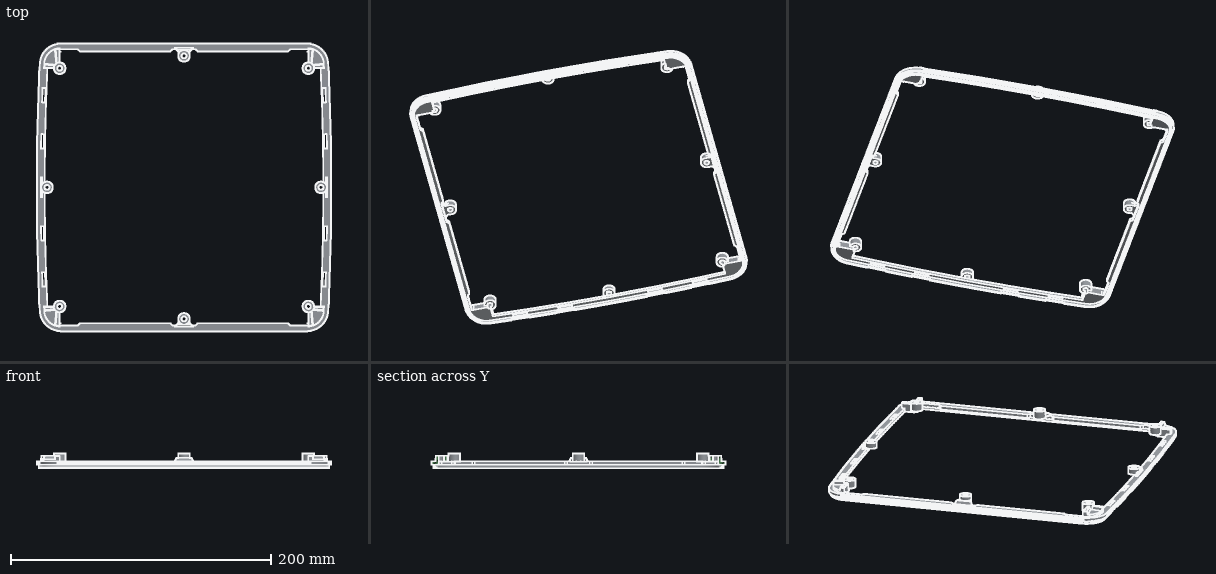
import cadquery as cq
import math

overall_x = 226.37
overall_y = 221.0
bead_height = 0.35
half_width = overall_x / 2 - bead_height
half_side = overall_y / 2 - bead_height
bow_radius = 2000.0
bow_center_x = half_width - bow_radius
corner_radius = 16.0

flange_bottom = 2.6
flange_top = 5.4
corner_floor_top = 7.0
side_web_top = 7.2
end_web_top = 8.0
side_boss_top = 9.7
rib_top = 9.7
total_height = 11.4
boss_embed = 0.2
boss_bottom = flange_top - boss_embed

flange_width = 6.1
skirt_inset = 1.4
skirt_thickness = 1.3
lip_height = 0.7
lip_inset = 0.2

bead_bottom = 3.4
bead_top = 4.6
end_bead_half = 97.0
side_bead_half = 92.0

relief_width = 4.3
relief_slope = flange_width - relief_width
mid_relief_half = 8.8
corner_relief_start = 81.5

slot_positions = (35.3, 70.6)
slot_length = 10.8
slot_inset = 3.1
slot_width = 2.0
notch_length = 14.4
notch_height = lip_height

boss_diameter = 9.0
hole_diameter = 3.6
corner_boss_x = 95.3
corner_boss_y = 91.3
side_boss_x = 105.0
end_boss_y = 100.8

end_web_back = 107.0
end_web_crest = 105.5
end_web_half = 7.2
end_web_front = 103.8
end_web_front_half = 4.3
side_web_back = 109.7
side_web_half = 7.6
side_web_top_half = 6.2
side_web_thickness = 1.0

bracket_inset = 3.4
rib_overlap = 2.0
rib_wide = 4.2
rib_narrow = 2.6
rib_chamfer = 0.5
rib_draft = 15.0


def outline(inset, bottom, top):
    """Solid slab of the frame outline, moved inward by inset."""
    edge_y = half_side - inset
    arc_radius = bow_radius - inset
    edge_x = bow_center_x + math.sqrt(arc_radius**2 - edge_y**2)
    side_x = half_width - inset
    return (
        cq.Workplane("XY")
        .workplane(offset=bottom)
        .moveTo(-edge_x, edge_y)
        .lineTo(edge_x, edge_y)
        .threePointArc((side_x, 0), (edge_x, -edge_y))
        .lineTo(-edge_x, -edge_y)
        .threePointArc((-side_x, 0), (-edge_x, edge_y))
        .close()
        .extrude(top - bottom)
        .edges("|Z")
        .fillet(corner_radius - inset)
    )


def prism(points, bottom, top, taper=0):
    """Prism over a polygon; a negative taper widens it upward."""
    base = cq.Workplane("XY").workplane(offset=bottom).polyline(points).close()
    return base.extrude(top - bottom, taper=taper)


def cylinder(x, y, diameter, bottom, top):
    return cq.Workplane("XY").workplane(offset=bottom).center(x, y).circle(diameter / 2).extrude(top - bottom)


def both_x(body):
    return body.union(body.mirror("YZ"))


def both_y(body):
    return body.union(body.mirror("XZ"))


def make_flange():
    flange = outline(0, flange_bottom, flange_top)
    return flange.cut(outline(flange_width, flange_bottom, flange_top))


def make_skirt():
    skirt = outline(skirt_inset, lip_height, flange_bottom)
    skirt = skirt.union(outline(skirt_inset + lip_inset, 0, lip_height))
    return skirt.cut(outline(skirt_inset + skirt_thickness, 0, flange_bottom))


def make_bead():
    """Low bead around the flange edge, left out at the corners."""
    reach = 2 * overall_x
    bead_thickness = bead_top - bead_bottom
    middle = (bead_bottom + bead_top) / 2
    ends = cq.Workplane("XY").box(2 * end_bead_half, reach, bead_thickness).translate((0, 0, middle))
    sides = cq.Workplane("XY").box(reach, 2 * side_bead_half, bead_thickness).translate((0, 0, middle))
    bead = outline(-bead_height, bead_bottom, bead_top).cut(outline(skirt_inset, bead_bottom, bead_top))
    return bead.intersect(ends.union(sides))


def make_end_reliefs():
    """Shallow reliefs beside the end bosses and at the corners."""
    deep_y = half_side - relief_width
    shallow_y = half_side - flange_width
    mid = prism(
        [
            (-mid_relief_half, deep_y),
            (mid_relief_half, deep_y),
            (mid_relief_half + relief_slope, shallow_y),
            (-mid_relief_half - relief_slope, shallow_y),
        ],
        flange_bottom,
        flange_top,
    )
    corner = prism(
        [
            (corner_relief_start, deep_y),
            (corner_boss_x + rib_overlap, deep_y),
            (corner_boss_x + rib_overlap, shallow_y),
            (corner_relief_start - relief_slope, shallow_y),
        ],
        flange_bottom,
        flange_top,
    )
    return both_y(mid.union(both_x(corner)))


def bowed_x(y, inset):
    """X of the bowed side at position y along it, moved inward by inset."""
    return bow_center_x + math.sqrt((bow_radius - inset) ** 2 - y**2)


def make_side_openings():
    """Through slots in the X rails and the notches under them in the skirt."""
    openings = cq.Workplane("XY")
    for y in slot_positions:
        slot_x = bowed_x(y, slot_inset + slot_width / 2)
        slot = cq.Workplane("XY").box(slot_width, slot_length, 2 * total_height)
        notch_x = bowed_x(y, skirt_inset + skirt_thickness / 2)
        notch = cq.Workplane("XY").box(2 * skirt_thickness, notch_length, 2 * notch_height)
        angle = math.degrees(math.asin(y / bow_radius))
        for body, x in ((slot, slot_x), (notch, notch_x)):
            openings = openings.union(body.rotate((0, 0, 0), (0, 0, 1), angle).translate((x, y, 0)))
    return both_x(both_y(openings))


def make_end_boss():
    plan = prism(
        [
            (-end_web_half, end_web_back),
            (end_web_half, end_web_back),
            (end_web_front_half, end_web_front),
            (boss_diameter / 2, end_boss_y),
            (-boss_diameter / 2, end_boss_y),
            (-end_web_front_half, end_web_front),
        ],
        boss_bottom,
        end_web_top,
    )
    profile = [
        (end_web_back, boss_bottom),
        (end_web_back, flange_top),
        (end_web_crest, end_web_top),
        (end_boss_y, end_web_top),
        (end_boss_y, boss_bottom),
    ]
    wedge = cq.Workplane("YZ").polyline(profile).close().extrude(end_web_half, both=True)
    web = plan.intersect(wedge)
    return web.union(cylinder(0, end_boss_y, boss_diameter, boss_bottom, total_height))


def make_side_boss():
    profile = [
        (-side_web_half, boss_bottom),
        (-side_web_half, flange_top),
        (-side_web_top_half, side_web_top),
        (side_web_top_half, side_web_top),
        (side_web_half, flange_top),
        (side_web_half, boss_bottom),
    ]
    inner_face = cq.Workplane("YZ").workplane(offset=side_web_back - side_web_thickness)
    web = inner_face.polyline(profile).close().extrude(side_web_thickness)
    return web.union(cylinder(side_boss_x, 0, boss_diameter, boss_bottom, side_boss_top))


def make_corner():
    x, y = corner_boss_x, corner_boss_y
    far_x, far_y = half_width, half_side
    quadrant = prism([(x, y), (far_x, y), (far_x, far_y), (x, far_y)], flange_bottom, rib_top)
    plate = outline(bracket_inset, flange_bottom, rib_top).intersect(quadrant)
    plate = plate.faces(">Z").edges().chamfer(rib_chamfer)
    pocket = prism(
        [
            (x + rib_narrow, y + rib_narrow),
            (far_x, y + rib_wide),
            (far_x, far_y),
            (x + rib_wide, far_y),
        ],
        corner_floor_top,
        rib_top,
        -rib_draft,
    )
    boss = cylinder(x, y, boss_diameter, boss_bottom, total_height)
    return plate.cut(pocket).union(boss)


def make_holes():
    corner = cylinder(corner_boss_x, corner_boss_y, hole_diameter, 0, total_height)
    side = cylinder(side_boss_x, 0, hole_diameter, 0, total_height)
    end = cylinder(0, end_boss_y, hole_diameter, 0, total_height)
    return both_y(both_x(corner.union(side)).union(end))


frame = make_flange().union(make_bead()).union(make_skirt()).cut(make_end_reliefs()).cut(make_side_openings())
bosses = both_x(both_y(make_corner())).union(both_x(make_side_boss())).union(both_y(make_end_boss()))
result = frame.union(bosses).cut(make_holes())